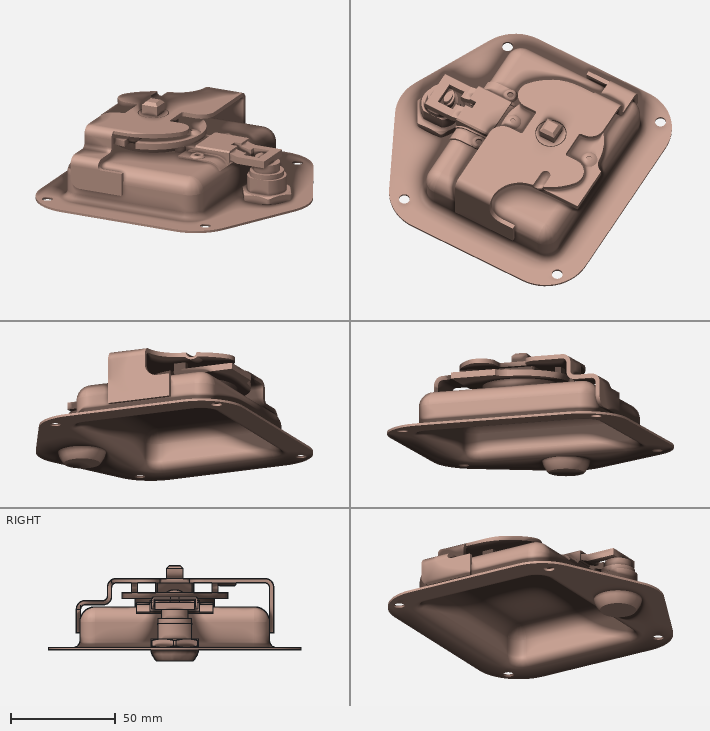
import cadquery as cq
import math


SHEET = 1.1
FLANGE_LEFT = -41.2
FLANGE_LENGTH = 123.8
FLANGE_WIDTH = 120.6
FLANGE_CORNER_R = 22.0
FLANGE_SHOULDER_X = 41.7
MOUNT_HOLE_DIA = 5.2
MOUNT_HOLES_X = (-32.0, 52.4)
MOUNT_HOLE_Y = 49.3
LOCK_X = FLANGE_LEFT + FLANGE_LENGTH - FLANGE_CORNER_R

DISH_X = 9.8
DISH_LENGTH = 71.8
DISH_WIDTH = 90.6
DISH_TOP = 20.5
DISH_CORNER_R = 7.4
DISH_EDGE_R = 7.3
DISH_FLARE_R = 3.2
EMBED = 0.5

BASE_DIA = 38.1
CAM_BOTTOM = 24.4
CAM_THICK = 3.0
CAM_TOP = CAM_BOTTOM + CAM_THICK
CAM_RADIUS = 25.4
CAM_TAB_X = -29.3
CAM_TAB_Y = 3.0
CAM_BLEND_Y = -1.6
CAM_BLEND_MID = (-26.5, 0.9)
BENT_TAB_WIDTH = 6.0
BENT_TAB_OUTER_Y = 20.7
BENT_TAB_R = 2.5
HUB_SIDE = 18.3
HUB_CHAMFER = 0.9
SHAFT_DIA = 14.2
SHAFT_HOLE_DIA = 15.0
SQUARE_SIDE = 8.0
SQUARE_TOP = 40.2
SQUARE_CHAMFER = 1.5
RIVET_X = 21.0
RIVET_DIA = 8.0
RIVET_HEIGHT = 1.4
RIVET_HOLE_DIA = 2.5
RIVET_HOLE_DEPTH = 0.6

PLATE_TOP = 34.0
PLATE_THICK = 2.1
PLATE_BOTTOM = PLATE_TOP - PLATE_THICK
BEND_R = 2.1
PLATE_HALF = 25.6
ROTOR_R = 30.1
LOBE_R = 7.0
BITE_R = 14.7
NOTCH_HALF = 7.0
NOTCH_X = 11.9
NOTCH_CORNER_R = 1.0
LEG_BOTTOM = 8.0
BACK_LEG_Y = 47.3
BACK_LEG_X = 6.5
BACK_FOOT_TOP = 19.1
FRONT_LEG_Y = -47.0
FRONT_LEG_LEFT = -20.8
FRONT_LEG_RIGHT = -6.3
FRONT_LEG_CORNER_R = 5.0
FRONT_FOOT_TOP = 19.2
FRONT_FOOT_R = 2.0
FOOT_X = 6.5
STEP_Y = -32.2
SHELF_TOP = 23.5
GROOVE_X = -9.4
GROOVE_END_Y = 21.5
GROOVE_R = 2.4
GROOVE_OUTER_R = 3.5

LEVER_LEFT = 17.3
LEVER_RIGHT = 63.9
LEVER_WIDTH = 19.1
LEVER_HIGH = (20.4, 23.7)
LEVER_LOW = (19.2, 22.7)
LEVER_JOGGLE = (46.0, 49.4)
LEVER_WINDOW_X = (50.9, 59.2)
LEVER_WINDOW_WIDTH = 11.1
LEVER_SLOT_WIDTH = 4.7
LEVER_HEAD_RIGHT = 22.2
LEVER_HEAD_WIDTH = 23.5
LEVER_HEAD_R = 3.0

FOOT_LEFT = 22.3
FOOT_WIDTH = 36.7
FOOT_TOP = DISH_TOP + SHEET
FOOT_END_ANGLE = math.radians(35)
COVER_X = (27.7, 46.0)
COVER_WIDTH = 22.0
COVER_TOP = 25.3
COVER_BOTTOM = 19.6
COVER_CHAMFER = 0.7
LEDGE = 0.9
CHEEK_LEFT = 24.5
CHEEK_TOP = (22.7, 23.9)
COVER_NOTCH_X = 42.3
COVER_NOTCH_WIDTH = 4.0
SCREW_X = 31.1
SCREW_Y = 15.1
SCREW_DIA = 7.2
SCREW_TOP_DIA = 5.7
SCREW_HEIGHT = 1.0
SCREW_SOCKET_DIA = 3.1

BEZEL_BOTTOM = -5.5
BEZEL_DIA = 23.2
BEZEL_FACE_DIA = 17.3
BEZEL_ARC_MID = (10.5, -3.0)
NUT_FLATS = 22.7
NUT_CORNERS_DIA = NUT_FLATS / math.cos(math.pi / 6)
NUT_TOP = 5.2
NUT_OUTER_DIA = 25.6
NUT_BEVEL = 0.7
BODY_DIA = 18.8
BODY_FLATS = 16.0
BODY_TOP = 12.5
COLLAR_DIA = 16.3
COLLAR_TOP = 15.0
COLLAR_FLAT = 2.6
NECK_DIA = 12.8
NECK_TOP = LEVER_LOW[0]
PIN_X = 56.6
PIN_LENGTH = 6.7
PIN_WIDTH = 3.2
PIN_TOP = 21.8


def box(x_range, width, z_range, y_center=0.0):
    """Block between two X and two Z levels, centred on y_center."""
    length = x_range[1] - x_range[0]
    height = z_range[1] - z_range[0]
    center = (sum(x_range) / 2, y_center, z_range[0])
    return cq.Workplane("XY").box(length, width, height, centered=(True, True, False)).translate(center)


def disc(diameter, bottom, top, x=0.0, y=0.0):
    """Upright cylinder between two levels."""
    return cq.Workplane("XY", origin=(x, y, bottom)).circle(diameter / 2).extrude(top - bottom)


def polar(center, radius, angle):
    """Point at an angle on a circle."""
    return (center[0] + radius * math.cos(angle), center[1] + radius * math.sin(angle))


def rim_arc(path, center, radius, start, end):
    """Continue a path along a circle between two angles."""
    middle = polar(center, radius, (start + end) / 2)
    return path.threePointArc(middle, polar(center, radius, end))


def make_flange():
    corner_y = FLANGE_WIDTH / 2 - FLANGE_CORNER_R
    left_x = FLANGE_LEFT + FLANGE_CORNER_R
    normal = math.atan2(LOCK_X - FLANGE_SHOULDER_X, corner_y)
    corners = [
        ((left_x, -corner_y), math.pi, math.pi * 1.5),
        ((FLANGE_SHOULDER_X, -corner_y), -math.pi / 2, -normal),
        ((LOCK_X, 0), -normal, normal),
        ((FLANGE_SHOULDER_X, corner_y), normal, math.pi / 2),
        ((left_x, corner_y), math.pi / 2, math.pi),
    ]
    path = cq.Workplane("XY").moveTo(FLANGE_LEFT, -corner_y)
    for center, start, end in corners:
        first = polar(center, FLANGE_CORNER_R, start)
        if center != corners[0][0]:
            path = path.lineTo(*first)
        path = rim_arc(path, center, FLANGE_CORNER_R, start, end)
    return path.close().extrude(SHEET)


def make_pan():
    """Flange with the hollow dish drawn up from it."""
    dish = cq.Workplane("XY").box(DISH_LENGTH, DISH_WIDTH, DISH_TOP, centered=(True, True, False))
    dish = dish.edges("|Z").fillet(DISH_CORNER_R).faces(">Z").edges().fillet(DISH_EDGE_R)
    pan = make_flange().union(dish.translate((DISH_X, 0, 0)))
    around_dish = cq.selectors.BoxSelector(
        (DISH_X - DISH_LENGTH / 2 - EMBED, -DISH_WIDTH / 2 - EMBED, SHEET / 2),
        (DISH_X + DISH_LENGTH / 2 + EMBED, DISH_WIDTH / 2 + EMBED, SHEET * 1.5),
    )
    pan = pan.edges(around_dish).fillet(DISH_FLARE_R)

    cavity = cq.Workplane("XY").box(
        DISH_LENGTH - 2 * SHEET, DISH_WIDTH - 2 * SHEET, DISH_TOP - SHEET, centered=(True, True, False)
    )
    cavity = cavity.edges("|Z").fillet(DISH_CORNER_R - SHEET)
    cavity = cavity.faces(">Z").edges().fillet(DISH_EDGE_R - SHEET)
    pan = pan.cut(cavity.translate((DISH_X, 0, 0)))
    cavity_rim = cq.selectors.BoxSelector(
        (DISH_X - DISH_LENGTH / 2, -DISH_WIDTH / 2, -SHEET / 2),
        (DISH_X + DISH_LENGTH / 2, DISH_WIDTH / 2, SHEET / 2),
    )
    pan = pan.edges(cavity_rim).fillet(DISH_FLARE_R + SHEET)

    hole_points = [(x, y) for x in MOUNT_HOLES_X for y in (-MOUNT_HOLE_Y, MOUNT_HOLE_Y)]
    holes = cq.Workplane("XY").pushPoints(hole_points).circle(MOUNT_HOLE_DIA / 2).extrude(SHEET)
    return pan.cut(holes)


def make_cam():
    """Cam disc with a corner tab and two bent-up tabs that carry the rotor plate."""
    blend_end = (-math.sqrt(CAM_RADIUS**2 - CAM_BLEND_Y**2), CAM_BLEND_Y)
    cam = disc(2 * CAM_RADIUS, CAM_BOTTOM, CAM_TOP)
    corner_tab = (
        cq.Workplane("XY", origin=(0, 0, CAM_BOTTOM))
        .moveTo(0, CAM_RADIUS)
        .lineTo(0, CAM_BLEND_Y)
        .lineTo(*blend_end)
        .threePointArc(CAM_BLEND_MID, (CAM_TAB_X, CAM_TAB_Y))
        .lineTo(CAM_TAB_X, CAM_RADIUS)
        .close()
        .extrude(CAM_THICK)
    )
    cam = cam.union(corner_tab)
    half = BENT_TAB_WIDTH / 2
    tab_y = BENT_TAB_OUTER_Y - CAM_THICK / 2
    tab = box((-half, half), CAM_THICK, (CAM_BOTTOM, PLATE_BOTTOM + EMBED), -tab_y)
    tab = tab.faces("<Y").edges("<Z").fillet(BENT_TAB_R)
    relief_y = BENT_TAB_OUTER_Y - CAM_THICK + CAM_RADIUS / 2
    relief = box((-half, half), CAM_RADIUS, (CAM_BOTTOM, CAM_TOP), -relief_y)
    for turn in (0, 180):
        cam = cam.cut(relief.rotate((0, 0, 0), (0, 0, 1), turn))
        cam = cam.union(tab.rotate((0, 0, 0), (0, 0, 1), turn))
    return cam


def make_rivet(x):
    """Domed rivet head with a small blind hole."""
    sphere_r = (RIVET_DIA**2 / 4 + RIVET_HEIGHT**2) / (2 * RIVET_HEIGHT)
    top = CAM_TOP + RIVET_HEIGHT
    head = cq.Workplane("XY").sphere(sphere_r).translate((x, 0, top - sphere_r))
    head = head.intersect(disc(RIVET_DIA, CAM_TOP - EMBED, top, x))
    return head.cut(disc(RIVET_HOLE_DIA, top - RIVET_HOLE_DEPTH, top, x))


def make_drive():
    """Round base, hub, shaft and square drive end."""
    half = HUB_SIDE / 2
    hub = box((-half, half), HUB_SIDE, (CAM_TOP - EMBED, PLATE_BOTTOM)).edges("|Z").chamfer(HUB_CHAMFER)
    half = SQUARE_SIDE / 2
    square = box((-half, half), SQUARE_SIDE, (PLATE_TOP - EMBED, SQUARE_TOP))
    square = square.faces(">Z").edges().chamfer(SQUARE_CHAMFER)
    drive = disc(BASE_DIA, DISH_TOP - EMBED, CAM_BOTTOM + EMBED).union(hub)
    return drive.union(disc(SHAFT_DIA, CAM_TOP, PLATE_TOP)).union(square)


def make_bent_sheet():
    """Rotor sheet bent down at +Y and stepped down at -Y, wider than the finished plate."""
    t = PLATE_THICK
    bends = [
        ((BACK_LEG_Y, PLATE_TOP), (BACK_LEG_Y - t, PLATE_BOTTOM)),
        ((STEP_Y, PLATE_TOP), (STEP_Y + t, PLATE_BOTTOM)),
        ((STEP_Y, SHELF_TOP), (STEP_Y + t, SHELF_TOP - t)),
        ((FRONT_LEG_Y, SHELF_TOP), (FRONT_LEG_Y + t, SHELF_TOP - t)),
    ]
    inward_step = bends[2]
    outer = [(BACK_LEG_Y, LEG_BOTTOM)] + [bend[0] for bend in bends] + [(FRONT_LEG_Y, LEG_BOTTOM)]
    inner = [(BACK_LEG_Y - t, LEG_BOTTOM)] + [bend[1] for bend in bends] + [(FRONT_LEG_Y + t, LEG_BOTTOM)]
    sheet = cq.Workplane("YZ").polyline(outer + inner[::-1]).close().extrude(2 * PLATE_HALF, both=True)
    for bend in bends:
        radii = (BEND_R, BEND_R + t) if bend is inward_step else (BEND_R + t, BEND_R)
        for (y, z), radius in zip(bend, radii):
            sheet = sheet.edges("|X").edges(cq.selectors.NearestToPointSelector((0, y, z))).fillet(radius)
    return sheet


def make_plan_prism():
    """Rotor plate outline seen along Z, tall enough to trim the bent sheet."""
    lobe_y = NOTCH_HALF + LOBE_R
    lobe_x = math.sqrt((ROTOR_R - LOBE_R) ** 2 - lobe_y**2)
    lobe_angle = math.atan2(lobe_y, lobe_x)
    bite_x = BACK_LEG_X - BITE_R
    bite_y = math.sqrt((ROTOR_R + BITE_R) ** 2 - bite_x**2)
    bite_angle = math.atan2(bite_y, bite_x)
    quarter = math.pi / 2
    right_x = PLATE_HALF - LOBE_R
    left_x = FRONT_LEG_LEFT + LOBE_R

    path = cq.Workplane("XY").moveTo(BACK_LEG_X, BACK_LEG_Y).lineTo(PLATE_HALF, BACK_LEG_Y)
    path = path.lineTo(PLATE_HALF, lobe_y)
    path = rim_arc(path, (right_x, lobe_y), LOBE_R, 0, -quarter)
    path = path.lineTo(NOTCH_X, NOTCH_HALF).lineTo(NOTCH_X, -NOTCH_HALF).lineTo(lobe_x, -NOTCH_HALF)
    path = rim_arc(path, (lobe_x, -lobe_y), LOBE_R, quarter, -lobe_angle)
    path = rim_arc(path, (0, 0), ROTOR_R, -lobe_angle, -quarter)
    path = path.lineTo(FRONT_LEG_RIGHT, -ROTOR_R).lineTo(FRONT_LEG_RIGHT, FRONT_LEG_Y)
    path = path.lineTo(FRONT_LEG_LEFT, FRONT_LEG_Y).lineTo(FRONT_LEG_LEFT, -lobe_y)
    path = rim_arc(path, (left_x, -lobe_y), LOBE_R, math.pi, quarter)
    path = path.lineTo(-NOTCH_X, -NOTCH_HALF).lineTo(-NOTCH_X, NOTCH_HALF).lineTo(-lobe_x, NOTCH_HALF)
    path = rim_arc(path, (-lobe_x, lobe_y), LOBE_R, 3 * quarter, math.pi - lobe_angle)
    path = rim_arc(path, (0, 0), ROTOR_R, math.pi - lobe_angle, bite_angle)
    path = rim_arc(path, (bite_x, bite_y), BITE_R, bite_angle - math.pi, 0)
    prism = path.close().extrude(PLATE_TOP)
    for x in (-NOTCH_X, NOTCH_X):
        for y in (-NOTCH_HALF, NOTCH_HALF):
            corner = cq.selectors.NearestToPointSelector((x, y, PLATE_TOP / 2))
            prism = prism.edges("|Z").edges(corner).fillet(NOTCH_CORNER_R)
    return prism


def make_foot_prisms():
    """Side extensions at the lower ends of the two legs."""
    arc_r = BACK_LEG_X
    back = (
        cq.Workplane("XZ", origin=(0, BACK_LEG_Y, 0))
        .moveTo(BACK_LEG_X, LEG_BOTTOM)
        .lineTo(BACK_LEG_X, BACK_FOOT_TOP + arc_r)
    )
    back = rim_arc(back, (0, BACK_FOOT_TOP + arc_r), arc_r, 0, -math.pi / 2)
    back = back.lineTo(FRONT_LEG_RIGHT, BACK_FOOT_TOP).lineTo(FRONT_LEG_RIGHT, LEG_BOTTOM).close()
    front = (
        cq.Workplane("XZ", origin=(0, FRONT_LEG_Y + PLATE_THICK, 0))
        .moveTo(FRONT_LEG_RIGHT, LEG_BOTTOM)
        .lineTo(FOOT_X, LEG_BOTTOM)
        .lineTo(FOOT_X, FRONT_FOOT_TOP)
        .lineTo(FRONT_LEG_RIGHT + FRONT_FOOT_R, FRONT_FOOT_TOP)
    )
    center = (FRONT_LEG_RIGHT + FRONT_FOOT_R, FRONT_FOOT_TOP + FRONT_FOOT_R)
    front = rim_arc(front, center, FRONT_FOOT_R, -math.pi / 2, -math.pi).close()
    return back.extrude(PLATE_THICK).union(front.extrude(PLATE_THICK))


def make_groove(radius):
    """Round-ended bar along Y that shapes the pressed groove."""
    length = BACK_LEG_Y - GROOVE_END_Y
    bar = cq.Workplane("XZ").circle(radius).extrude(-length).union(cq.Workplane("XY").sphere(radius))
    return bar.translate((GROOVE_X, GROOVE_END_Y, PLATE_TOP))


def make_rotor():
    plan = make_plan_prism()
    rotor = make_bent_sheet().intersect(plan.union(make_foot_prisms()))
    leg_corner = cq.selectors.NearestToPointSelector((FRONT_LEG_LEFT, FRONT_LEG_Y, LEG_BOTTOM))
    rotor = rotor.edges("|Y").edges(leg_corner).fillet(FRONT_LEG_CORNER_R)
    rim_y = ROTOR_R - PLATE_THICK
    rim_span = (FRONT_LEG_RIGHT, PLATE_HALF)
    rim = box(rim_span, 2 * PLATE_THICK, (SHELF_TOP, PLATE_BOTTOM), -rim_y)
    rotor = rotor.cut(rim)
    rotor = rotor.union(make_groove(GROOVE_OUTER_R).intersect(plan)).cut(make_groove(GROOVE_R))
    return rotor.cut(disc(SHAFT_HOLE_DIA, PLATE_BOTTOM - EMBED, PLATE_TOP))


def make_lever():
    """Joggled lever with a wide inner head, a window for the lock pin and a slot leading into it."""
    profile = [
        (LEVER_LEFT, LEVER_HIGH[0]),
        (LEVER_JOGGLE[0], LEVER_HIGH[0]),
        (LEVER_JOGGLE[1], LEVER_LOW[0]),
        (LEVER_RIGHT, LEVER_LOW[0]),
        (LEVER_RIGHT, LEVER_LOW[1]),
        (LEVER_JOGGLE[1], LEVER_LOW[1]),
        (LEVER_JOGGLE[0], LEVER_HIGH[1]),
        (LEVER_LEFT, LEVER_HIGH[1]),
    ]
    lever = cq.Workplane("XZ").polyline(profile).close().extrude(LEVER_WIDTH / 2, both=True)
    heights = (LEVER_LOW[0], LEVER_HIGH[1])
    window = box(LEVER_WINDOW_X, LEVER_WINDOW_WIDTH, heights)
    slot = box((COVER_NOTCH_X, LEVER_WINDOW_X[0]), LEVER_SLOT_WIDTH, heights)
    head = box((LEVER_LEFT, LEVER_HEAD_RIGHT), LEVER_HEAD_WIDTH, LEVER_HIGH)
    head = head.faces(">X").edges("|Z").fillet(LEVER_HEAD_R)
    return lever.cut(window).cut(slot).union(head)


def make_screw(y):
    top = FOOT_TOP + SCREW_HEIGHT
    head = disc(SCREW_DIA, FOOT_TOP - EMBED, top, SCREW_X, y)
    head = head.faces(">Z").edges().chamfer((SCREW_DIA - SCREW_TOP_DIA) / 2)
    return head.cut(disc(SCREW_SOCKET_DIA, FOOT_TOP, top, SCREW_X, y))


def make_strip(left, thickness, width):
    """Strip lying on the dish top and bent down over its +X edge."""
    center = (DISH_X + DISH_LENGTH / 2 - DISH_EDGE_R, DISH_TOP - DISH_EDGE_R)
    inner_r = DISH_EDGE_R - EMBED
    outer_r = DISH_EDGE_R + thickness
    top = DISH_TOP + thickness
    path = cq.Workplane("XZ").moveTo(left, DISH_TOP - EMBED).lineTo(left, top).lineTo(center[0], top)
    path = rim_arc(path, center, outer_r, math.pi / 2, FOOT_END_ANGLE)
    path = path.lineTo(*polar(center, inner_r, FOOT_END_ANGLE))
    path = rim_arc(path, center, inner_r, FOOT_END_ANGLE, math.pi / 2)
    return path.close().extrude(width / 2, both=True)


def make_guide():
    """Bracket that wraps over the dish edge and covers the lever."""
    foot = make_strip(FOOT_LEFT, SHEET, FOOT_WIDTH)
    ledge = make_strip(CHEEK_LEFT, SHEET + LEDGE, COVER_WIDTH + 2 * LEDGE)
    profile = [
        (CHEEK_LEFT, DISH_TOP),
        (CHEEK_LEFT, CHEEK_TOP[0]),
        (COVER_X[0], CHEEK_TOP[1]),
        (COVER_X[0], COVER_TOP),
        (COVER_X[1], COVER_TOP),
        (COVER_X[1], COVER_BOTTOM),
        (COVER_X[0], COVER_BOTTOM),
    ]
    cover = cq.Workplane("XZ").polyline(profile).close().extrude(COVER_WIDTH / 2, both=True)
    cover = cover.faces(">Z").edges("|X").chamfer(COVER_CHAMFER)
    channel = box((FOOT_LEFT, COVER_X[1]), COVER_WIDTH - 2 * SHEET, (DISH_TOP, COVER_TOP - SHEET))
    notch = box((COVER_NOTCH_X, COVER_X[1]), COVER_NOTCH_WIDTH, (COVER_BOTTOM, COVER_TOP))
    guide = foot.union(ledge).union(cover).cut(channel).cut(notch)
    for y in (-SCREW_Y, SCREW_Y):
        guide = guide.union(make_screw(y))
    return guide


def make_nut():
    nut = cq.Workplane("XY").polygon(6, NUT_CORNERS_DIA).extrude(NUT_TOP)
    rounded = disc(NUT_OUTER_DIA, SHEET, NUT_TOP).faces("<Z or >Z").chamfer(NUT_BEVEL, 2 * NUT_BEVEL)
    return nut.intersect(rounded).translate((LOCK_X, 0, 0))


def make_lock():
    """Bezel, nut, flatted body, flatted collar and oval pin of the key lock."""
    bezel = (
        cq.Workplane("XZ")
        .moveTo(0, SHEET)
        .lineTo(BEZEL_DIA / 2, SHEET)
        .lineTo(BEZEL_DIA / 2, 0)
        .threePointArc(BEZEL_ARC_MID, (BEZEL_FACE_DIA / 2, BEZEL_BOTTOM))
        .lineTo(0, BEZEL_BOTTOM)
        .close()
        .revolve(360, (0, 0, 0), (0, 1, 0))
        .translate((LOCK_X, 0, 0))
    )
    body_span = (LOCK_X - BODY_DIA / 2, LOCK_X + BODY_DIA / 2)
    body = disc(BODY_DIA, 0, BODY_TOP, LOCK_X).intersect(box(body_span, BODY_FLATS, (0, BODY_TOP)))
    flat_span = (LOCK_X - COLLAR_FLAT / 2, LOCK_X + COLLAR_FLAT / 2)
    collar = disc(COLLAR_DIA, BODY_TOP - EMBED, COLLAR_TOP, LOCK_X)
    flats = box(flat_span, COLLAR_DIA, (BODY_TOP, COLLAR_TOP))
    flats = flats.cut(box(flat_span, BODY_FLATS, (BODY_TOP, COLLAR_TOP)))
    collar = collar.cut(flats)
    neck = disc(NECK_DIA, BODY_TOP - EMBED, NECK_TOP, LOCK_X)
    pin = cq.Workplane("XY", origin=(PIN_X, 0, NECK_TOP - EMBED)).ellipse(PIN_WIDTH / 2, PIN_LENGTH / 2)
    pin = pin.extrude(PIN_TOP - NECK_TOP + EMBED)
    lock = bezel.union(make_nut())
    for piece in (body, collar, neck, pin):
        lock = lock.union(piece)
    return lock


result = make_pan().union(make_drive()).union(make_cam())
for rivet_x in (-RIVET_X, RIVET_X):
    result = result.union(make_rivet(rivet_x))
for assembly in (make_rotor(), make_guide(), make_lever(), make_lock()):
    result = result.union(assembly)